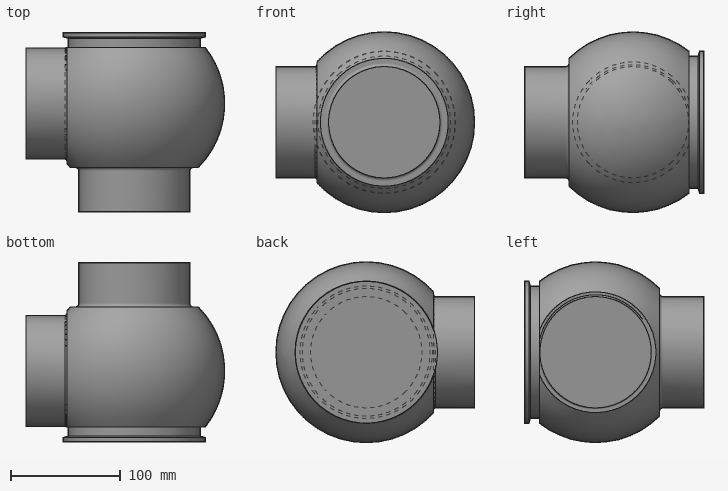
import cadquery as cq
import math

ball_radius = 82.5
left_flat = 61.5
front_flat = 58.4
back_flat = 51.3

stub_radius = 50.8
stub_reach = 98.8
left_fillet = 1.6
front_fillet = 3.0

ferrule_reach = 64.7
ferrule_neck_radius = 60.4
ferrule_lip_radius = 65.0
lip_thickness = 4.0
taper_height = 1.3


def make_ball():
    """Ball turned about Y between its front and back flats, then trimmed on its left side."""
    front_flat_radius = math.sqrt(ball_radius**2 - front_flat**2)
    back_flat_radius = math.sqrt(ball_radius**2 - back_flat**2)
    half_profile = (
        cq.Workplane("XY")
        .moveTo(0, -front_flat)
        .lineTo(front_flat_radius, -front_flat)
        .threePointArc((ball_radius, 0), (back_flat_radius, back_flat))
        .lineTo(0, back_flat)
        .close()
    )
    trim_box = cq.Workplane("XY").box(
        left_flat + ball_radius, 2 * ball_radius, 2 * ball_radius, centered=False
    ).translate((-left_flat, -ball_radius, -ball_radius))
    return half_profile.revolve(360, (0, 0), (0, 1)).intersect(trim_box)


def make_stub(flat, fillet):
    """Pipe stub along -Y with a concave root fillet where it meets the flat."""
    half_profile = (
        cq.Workplane("XY")
        .moveTo(0, 0)
        .lineTo(stub_radius + fillet, 0)
        .lineTo(stub_radius + fillet, -flat)
        .radiusArc((stub_radius, -flat - fillet), -fillet)
        .lineTo(stub_radius, -stub_reach)
        .lineTo(0, -stub_reach)
        .close()
    )
    return half_profile.revolve(360, (0, 0), (0, 1))


def make_left_stub():
    """Stub along -X, its root fillet trimmed flush with the back flat."""
    stub = make_stub(left_flat, left_fillet).rotate((0, 0, 0), (0, 0, 1), -90)
    trim_box = cq.Workplane("XY").box(
        stub_reach, ball_radius + back_flat, 2 * ball_radius, centered=False
    ).translate((-stub_reach, -ball_radius, -ball_radius))
    return stub.intersect(trim_box)


def make_ferrule():
    """Neck flaring by a shallow cone to a flat clamp lip along +Y."""
    lip_base = ferrule_reach - lip_thickness
    half_profile = (
        cq.Workplane("XY")
        .moveTo(0, 0)
        .lineTo(ferrule_neck_radius, 0)
        .lineTo(ferrule_neck_radius, lip_base - taper_height)
        .lineTo(ferrule_lip_radius, lip_base)
        .lineTo(ferrule_lip_radius, ferrule_reach)
        .lineTo(0, ferrule_reach)
        .close()
    )
    return half_profile.revolve(360, (0, 0), (0, 1))


result = (
    make_ball()
    .union(make_left_stub())
    .union(make_stub(front_flat, front_fillet))
    .union(make_ferrule())
)